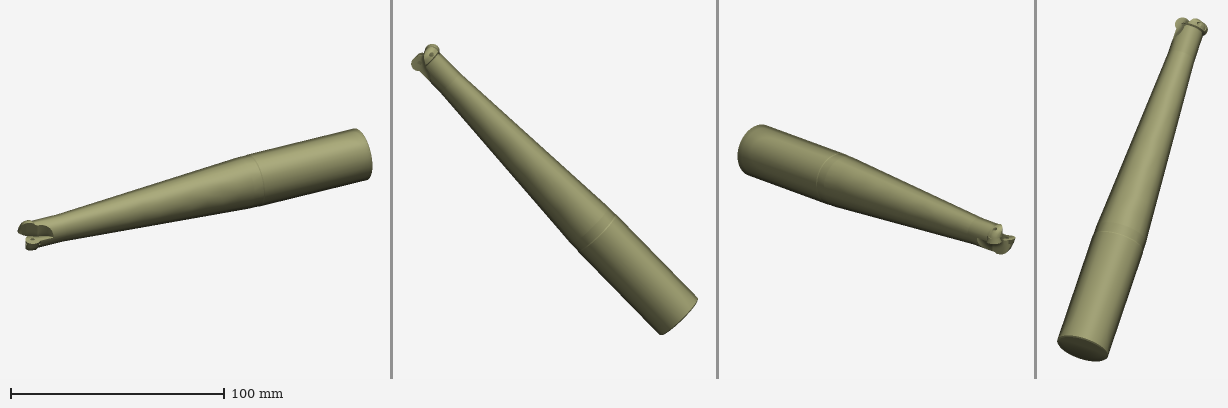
import cadquery as cq
import math


total_length = 176.0
shank_radius = 12.5
shank_length = 56.0
shank_chamfer = 0.5
collar_radius = 12.3
collar_length = 5.3
collar_step_length = 0.5
neck_radius = 6.5
neck_end = 19.7

head_radius = 7.2
head_round = 3.0
head_center_y = 3.5
head_back_y = 5.1

lobe_tip_x = 3.5
wall_start_x = -0.2
wall_start_y = 2.5
flute_wall_x = 2.5
flute_runout_y = 6.9
flute_exit_y = 13.2

insert_radius = 3.5
insert_thickness = 2.5
insert_base_radius = 2.8
insert_offset = 4.4
insert_center_y = insert_radius

screw_offset = 3.9
screw_radius = 1.0
screw_head_radius = 2.0
screw_head_height = 0.9
screw_length = 5.3
socket_width = 2.1
socket_depth = 0.5

axis_start = (0, 0, 0)
axis_end = (0, 1, 0)
shank_start = total_length - shank_length
collar_start = shank_start - collar_length
clearance = 2 * shank_radius


def both_sides(shape):
    """Return the shape and its copy turned half a turn about the holder axis."""
    return [shape.rotate(axis_start, axis_end, angle) for angle in (0, 180)]


def make_shaft():
    """Revolve the shank, collar, cone, neck and rounded head in one profile."""
    round_center = head_radius - head_round
    arc_middle = head_round * math.sqrt(0.5)
    return (
        cq.Workplane("XY")
        .moveTo(0, head_center_y - head_round)
        .lineTo(round_center, head_center_y - head_round)
        .threePointArc(
            (round_center + arc_middle, head_center_y - arc_middle),
            (head_radius, head_center_y),
        )
        .lineTo(head_radius, head_back_y)
        .lineTo(neck_radius, head_back_y + head_radius - neck_radius)
        .lineTo(neck_radius, neck_end)
        .lineTo(collar_radius, collar_start)
        .lineTo(collar_radius, shank_start - collar_step_length)
        .lineTo(shank_radius, shank_start)
        .lineTo(shank_radius, total_length - shank_chamfer)
        .lineTo(shank_radius - shank_chamfer, total_length)
        .lineTo(0, total_length)
        .close()
        .revolve(360, axis_start, axis_end)
    )


def make_flute():
    """Chip space above one insert face, from the opposite tip lobe to the run-out on the neck."""
    lobe_tip_y = head_center_y - head_round
    lobe_width = lobe_tip_x + wall_start_x
    lobe_rise = wall_start_y - lobe_tip_y
    lobe_radius = (lobe_width**2 + lobe_rise**2) / (2 * lobe_rise)
    exit_width = neck_radius - flute_wall_x
    runout_length = flute_exit_y - flute_runout_y
    runout_radius = (exit_width**2 + runout_length**2) / (2 * exit_width)
    return (
        cq.Workplane("XY")
        .moveTo(-lobe_tip_x, lobe_tip_y)
        .radiusArc((wall_start_x, wall_start_y), -lobe_radius)
        .lineTo(flute_wall_x, flute_runout_y)
        .radiusArc((neck_radius, flute_exit_y), runout_radius)
        .lineTo(clearance, flute_exit_y)
        .lineTo(clearance, -clearance)
        .lineTo(-lobe_tip_x, -clearance)
        .close()
        .extrude(clearance)
    )


def make_insert_seat():
    """Round recess that holds one insert."""
    return (
        cq.Workplane("XY")
        .center(insert_offset, insert_center_y)
        .circle(insert_radius)
        .extrude(-insert_thickness)
    )


def make_screw_blank(length):
    """Countersunk screw shape of the given length, without its socket."""
    return (
        cq.Workplane("XZ", origin=(screw_offset, insert_center_y, 0))
        .polyline([
            (0, 0),
            (screw_head_radius, 0),
            (screw_radius, -screw_head_height),
            (screw_radius, -length),
            (0, -length),
        ])
        .close()
        .revolve(360, (0, 0, 0), (0, 1, 0))
    )


def make_holder():
    """Holder with flutes, insert seats and screw holes that run through the head."""
    holder = make_shaft()
    for cutter in (make_flute(), make_insert_seat(), make_screw_blank(clearance)):
        for cutter_copy in both_sides(cutter):
            holder = holder.cut(cutter_copy)
    return holder


def make_insert():
    """Round insert, tapered below its cutting edge, with a countersunk hole."""
    insert = (
        cq.Workplane("XY")
        .center(insert_offset, insert_center_y)
        .circle(insert_radius)
        .workplane(offset=-insert_thickness)
        .circle(insert_base_radius)
        .loft()
    )
    return insert.cut(make_screw_blank(screw_length))


def make_screw():
    """Screw with a hexagon socket in its head."""
    socket = (
        cq.Workplane("XY")
        .center(screw_offset, insert_center_y)
        .polygon(6, socket_width)
        .extrude(-socket_depth)
    )
    return make_screw_blank(screw_length).cut(socket)


holder = make_holder()
inserts = both_sides(make_insert())
screws = both_sides(make_screw())

result = cq.Compound.makeCompound([
    holder.val(),
    *[insert.val() for insert in inserts],
    *[screw.val() for screw in screws],
])